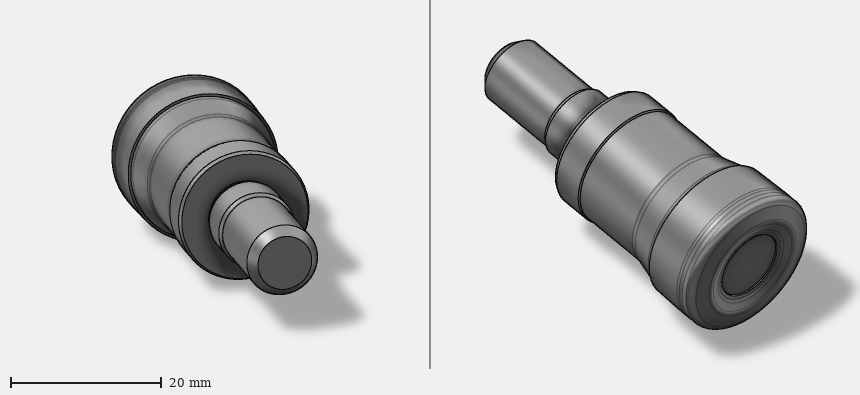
import cadquery as cq

total_length = 50.0

cap_diameter = 21.0
cap_length = 9.1
cap_back_radius = 10.35
cap_radius = cap_diameter / 2
wall_start_x = 1.55
taper_start_x = 3.35
taper_mid_x = 6.75
taper_mid_radius = 10.45
groove_x, groove_radius = 2.3, 10.45
groove_end_x = 2.9
edge_x, edge_radius = 0.5, 9.6
edge_mid_x, edge_mid_radius = 0.9, 10.25
crest_radius = 7.25
crest_outer_x, crest_outer_radius = 0.05, 7.65
crest_inner_x, crest_inner_radius = 0.1, 6.9
dish_x, dish_radius = 0.45, 5.8
lip_x, lip_radius = 0.6, 5.25
lip_mid_x, lip_mid_radius = 0.55, 5.55
bore_edge_x, bore_edge_radius = 0.7, 4.85

spigot_radius = 9.55 / 2
spigot_front_x = 0.9

shoulder_radius = 20.0 / 2
shoulder_edge_x, shoulder_edge_radius = 9.8, 9.9
cone_end_x, cone_end_radius = 13.55, 8.95
barrel_start_x = 14.3
barrel_radius = 17.6 / 2
collar_radius = 18.0 / 2
collar_start_x = 24.85
collar_end_x = 30.0
collar_front_chamfer = collar_radius - barrel_radius
collar_back_chamfer_length = 0.6
collar_back_chamfer_depth = 0.3

neck_radius = 5.0
neck_end_x = 30.4
seat_radius = 10.5 / 2
seat_start_x = 31.15
seat_end_x = 35.95
stem_start_x = 36.55
stem_radius = 9.75 / 2
tip_radius = 3.7
tip_length = 1.35


def revolve_about_x(profile):
    """Turn a closed profile, drawn as (x, radius), about the X axis."""
    return profile.close().revolve(360, (0, 0, 0), (1, 0, 0))


def make_cap():
    profile = (
        cq.Workplane("XY")
        .moveTo(cap_length, spigot_radius)
        .lineTo(cap_length, cap_back_radius)
        .threePointArc((taper_mid_x, taper_mid_radius), (taper_start_x, cap_radius))
        .lineTo(groove_end_x, cap_radius)
        .lineTo(groove_x, groove_radius)
        .lineTo(wall_start_x, cap_radius)
        .threePointArc((edge_mid_x, edge_mid_radius), (edge_x, edge_radius))
        .lineTo(crest_outer_x, crest_outer_radius)
        .threePointArc((0, crest_radius), (crest_inner_x, crest_inner_radius))
        .lineTo(dish_x, dish_radius)
        .threePointArc((lip_mid_x, lip_mid_radius), (lip_x, lip_radius))
        .lineTo(bore_edge_x, bore_edge_radius)
        .lineTo(spigot_front_x, spigot_radius)
    )
    return revolve_about_x(profile)


def make_shaft():
    profile = (
        cq.Workplane("XY")
        .moveTo(spigot_front_x, 0)
        .lineTo(spigot_front_x, spigot_radius)
        .lineTo(cap_length, spigot_radius)
        .lineTo(cap_length, shoulder_radius)
        .lineTo(shoulder_edge_x, shoulder_edge_radius)
        .lineTo(cone_end_x, cone_end_radius)
        .lineTo(barrel_start_x, barrel_radius)
        .lineTo(collar_start_x, barrel_radius)
        .lineTo(collar_start_x + collar_front_chamfer, collar_radius)
        .lineTo(collar_end_x - collar_back_chamfer_length, collar_radius)
        .lineTo(collar_end_x, collar_radius - collar_back_chamfer_depth)
        .lineTo(collar_end_x, neck_radius)
        .lineTo(neck_end_x, neck_radius)
        .lineTo(seat_start_x, seat_radius)
        .lineTo(seat_end_x, seat_radius)
        .lineTo(stem_start_x, stem_radius)
        .lineTo(total_length - tip_length, stem_radius)
        .lineTo(total_length, tip_radius)
        .lineTo(total_length, 0)
    )
    return revolve_about_x(profile)


cap = make_cap()
shaft = make_shaft()
result = cq.Compound.makeCompound([cap.val(), shaft.val()])